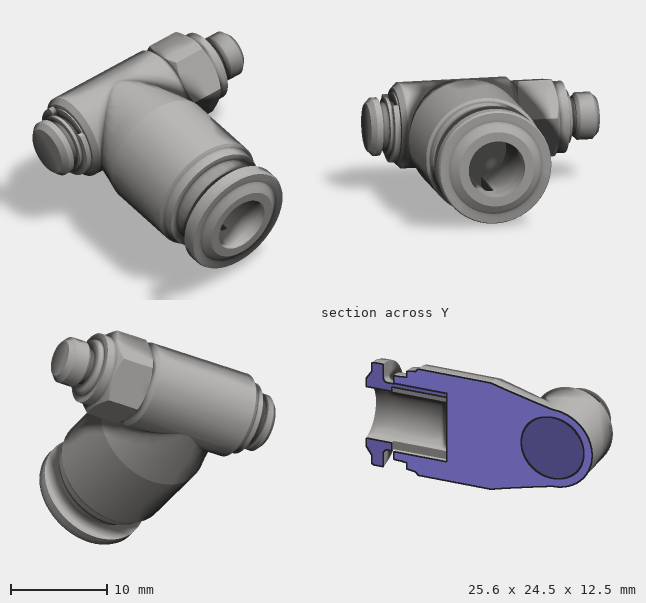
import cadquery as cq


post_radius = 4.5
post_half_length = 6.3
post_chamfer = 0.55
barrel_radius = 12.48 / 2
barrel_start = 7.02
barrel_end = 15.22
shoulder_start = 15.5
shoulder_start_radius = 5.9
shoulder_end = 16.52
shoulder_end_radius = 5.75
guide_start_radius = 5.02
guide_end = 17.99
guide_end_radius = 4.92

bore_radius = 3.0
neck_radius = 3.97
collet_start = 12.0
flange_start = 19.15
flange_radius = 6.02
flange_bevel_start = 20.2
flange_bevel = 0.13
flange_end = 20.47
neck_fillet = 0.49
nose_base_radius = 4.92
nose_end = 21.1
slot_width = 1.02
slot_end = 18.2
slot_roll = 3.0

head_end = -9.25
head_bevel = 0.55
head_start = -8.07
head_radius = 3.05
head_neck_radius = 2.5
rim_end = -7.3
shaft_radius = 3.5
shaft_end = -6.4
hex_end = 10.65
hex_vertex_radius = 4.6
hex_turn = 12.3
hex_inner_face_radius = 3.95
hex_inner_bevel = 0.38
hex_outer_bevel = 0.5
collar_radius = 3.77
collar_end = 11.65
seal_radius = 3.02
seal_end = 12.2
seal_round = 0.44
undercut_radius = 1.92
thread_start = 12.73
thread_radius = 2.49
thread_root_bevel = 0.35
thread_tip_bevel = 0.6
thread_end = 15.25

clip_end = -6.97
clip_radius = 3.85
clip_tip_height = 2.77
clip_gap_width = 4.05
clip_tip_round = 0.4


def turn_about_x(outline):
    """Revolve a closed (x, radius) outline about the X axis."""
    return cq.Workplane("XY").polyline(outline).close().revolve(360, (0, 0, 0), (1, 0, 0))


def turn_about_y(outline):
    """Revolve a closed (radius, y) outline about the Y axis."""
    return cq.Workplane("XY").polyline(outline).close().revolve(360, (0, 0, 0), (0, 1, 0))


def disc_y(radius, start, end):
    """Cylinder on the Y axis between two stations."""
    return turn_about_y([(0, start), (radius, start), (radius, end), (0, end)])


def make_housing():
    post = disc_y(post_radius, -post_half_length, post_half_length).edges().chamfer(post_chamfer)
    port = turn_about_x([
        (0, 0),
        (0, post_radius),
        (barrel_start, barrel_radius),
        (barrel_end, barrel_radius),
        (shoulder_start, shoulder_start_radius),
        (shoulder_end, shoulder_end_radius),
        (shoulder_end, guide_start_radius),
        (guide_end, guide_end_radius),
        (guide_end, 0),
    ])
    stem_bore = disc_y(shaft_radius, -post_half_length, post_half_length)
    collet_socket = turn_about_x([
        (collet_start, 0),
        (collet_start, neck_radius),
        (guide_end, neck_radius),
        (guide_end, 0),
    ])
    return post.union(port).cut(stem_bore).cut(collet_socket)


def make_collet():
    body = (
        cq.Workplane("XY")
        .moveTo(collet_start, bore_radius)
        .lineTo(collet_start, neck_radius)
        .lineTo(flange_start - neck_fillet, neck_radius)
        .radiusArc((flange_start, neck_radius + neck_fillet), -neck_fillet)
        .lineTo(flange_start, flange_radius)
        .lineTo(flange_bevel_start, flange_radius)
        .lineTo(flange_end, flange_radius - flange_bevel)
        .lineTo(flange_end, nose_base_radius)
        .lineTo(nose_end, neck_radius)
        .lineTo(nose_end, bore_radius)
        .close()
        .revolve(360, (0, 0, 0), (1, 0, 0))
    )
    slot_length = slot_end - collet_start
    slots = (
        cq.Workplane("XY")
        .box(slot_length, slot_width, 2 * flange_radius, centered=(False, True, True))
        .translate((collet_start, 0, 0))
        .rotate((0, 0, 0), (1, 0, 0), -slot_roll)
    )
    return body.cut(slots)


def make_hex():
    """Hexagon bevelled by cones at both ends."""
    prism = (
        cq.Workplane("XZ", origin=(0, hex_end, 0))
        .transformed(rotate=(0, 0, hex_turn))
        .polygon(6, 2 * hex_vertex_radius)
        .extrude(hex_end - post_half_length)
    )
    envelope = turn_about_y([
        (0, post_half_length),
        (hex_inner_face_radius, post_half_length),
        (hex_vertex_radius, post_half_length + hex_inner_bevel),
        (hex_vertex_radius, hex_end - hex_outer_bevel),
        (collar_radius, hex_end),
        (0, hex_end),
    ])
    return prism.intersect(envelope)


def make_clip():
    """Open ring whose two tips flank a gap on the +Z side."""
    thickness = shaft_end - clip_end
    ring = disc_y(clip_radius, clip_end, shaft_end)
    middle = (clip_end + shaft_end) / 2
    keep_below_tips = (
        cq.Workplane("XY")
        .box(2 * clip_radius, thickness, clip_radius + clip_tip_height)
        .translate((0, middle, (clip_tip_height - clip_radius) / 2))
    )
    gap = (
        cq.Workplane("XY")
        .box(clip_gap_width, thickness, clip_tip_height, centered=(True, True, False))
        .translate((0, middle, 0))
    )
    half_gap = clip_gap_width / 2
    tip_corners = cq.selectors.BoxSelector(
        (-half_gap - clip_tip_round, clip_end, clip_tip_height - clip_tip_round),
        (half_gap + clip_tip_round, shaft_end, clip_tip_height + clip_tip_round),
    )
    return ring.intersect(keep_below_tips).cut(gap).edges("|Y").edges(tip_corners).fillet(clip_tip_round)


def make_stem():
    head = disc_y(head_radius, head_end, head_start).faces("<Y").edges().chamfer(head_bevel)
    seal = disc_y(seal_radius, collar_end, seal_end).faces(">Y").edges().fillet(seal_round)
    thread = (
        disc_y(thread_radius, thread_start, thread_end)
        .faces("<Y").edges().chamfer(thread_root_bevel)
        .faces(">Y").edges().chamfer(thread_tip_bevel)
    )
    sections = [
        disc_y(head_neck_radius, head_start, shaft_end),
        disc_y(head_radius, clip_end, rim_end),
        make_clip(),
        disc_y(shaft_radius, shaft_end, post_half_length),
        make_hex(),
        disc_y(collar_radius, hex_end, collar_end),
        seal,
        disc_y(undercut_radius, seal_end, thread_start),
        thread,
    ]
    stem = head
    for section in sections:
        stem = stem.union(section)
    return stem


housing = make_housing()
collet = make_collet()
stem = make_stem()

result = cq.Compound.makeCompound([body.solids().val() for body in (housing, collet, stem)])